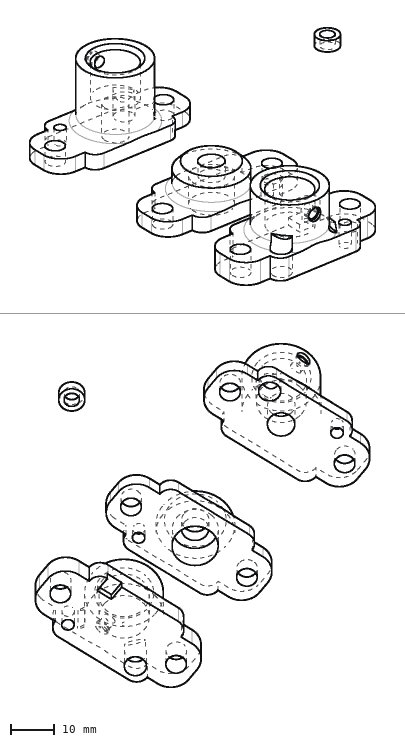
import cadquery as cq
import math

THIN_FLANGE = 4.0
THICK_FLANGE = 6.0
BODY_CORNER_RADIUS = 3.0
EAR_HALF_WIDTH = 6.65
EAR_CORNER_RADIUS = 5.0
FLANGE_HALF_WIDTH = EAR_HALF_WIDTH + BODY_CORNER_RADIUS
FLANGE_HALF_LENGTH = 20.9
BODY_HALF_LENGTH = 12.9

SCREW_HOLE_DIAMETER = 4.7
SCREW_HOLE_OFFSET = 16.2
PIN_HOLE_DIAMETER = 2.8
PIN_HOLE_X = 5.7
PIN_HOLE_Y = 10.0

POST_DIAMETER = 18.0
POST_RADIUS = POST_DIAMETER / 2
POST_OFFSET_X = 0.2
POST_OFFSET_Y = -1.7
ROOT_FILLET = 1.5
APERTURE_DIAMETER = 6.2

BORE_DIAMETER = 11.4
BORE_CHAMFER = 1.0
BORE_DEPTH = 10.2
BORE_FLOOR_HALF_ANGLE = 59
PINHOLE_DIAMETER = 1.0

SET_SCREW_DIAMETER = 2.8
SET_SCREW_MOUTH_DIAMETER = 3.5
SET_SCREW_MOUTH_DEPTH = 0.85

CLEARANCE_DIAMETER = 5.0
CLEARANCE_X = 5.8
CLEARANCE_Y = -9.0
CLEARANCE_RISE = 3.5
CLEARANCE_ROOF_SLOPE = 45

LONG_CENTRE = (-37.7, -0.3)
LONG_HEIGHT = 20.3
LONG_SET_SCREW_Z = 16.8
LONG_SCREW_HOLE_SHIFT = 0.4

SHORT_CENTRE = (28.3, -0.5)
SHORT_HEIGHT = 17.5
SHORT_SET_SCREW_Z = 13.8
NOTCH_SIZE = 4.0
NOTCH_HEIGHT = 2.0
NOTCH_Y = 7.9
RAMP_WIDTH = 4.7
RAMP_ANGLE = 55

MIDDLE_HEIGHT = 11.2
MIDDLE_TOP_CHAMFER = 2.0
MIDDLE_POCKET_DIAMETER = 10.5
MIDDLE_POCKET_DEPTH = 7.3

RING_OUTER_DIAMETER = 6.0
RING_INNER_DIAMETER = 3.5
RING_HEIGHT = 3.0
RING_BASE = (-1.4, 33.8, 27.8)


def disc(diameter, height, x=0, y=0, z=0):
    return cq.Workplane(origin=(x, y, z)).circle(diameter / 2).extrude(height)


def rounded_plate(half_width, half_length, thickness, corner_radius):
    plate = cq.Workplane().rect(2 * half_width, 2 * half_length).extrude(thickness)
    return plate.edges("|Z").fillet(corner_radius)


def flange(thickness):
    body = rounded_plate(FLANGE_HALF_WIDTH, BODY_HALF_LENGTH, thickness, BODY_CORNER_RADIUS)
    ears = rounded_plate(EAR_HALF_WIDTH, FLANGE_HALF_LENGTH, thickness, EAR_CORNER_RADIUS)
    return body.union(ears)


def flange_holes(thickness, lower_hole_x=0):
    upper_screw = disc(SCREW_HOLE_DIAMETER, thickness, 0, SCREW_HOLE_OFFSET)
    lower_screw = disc(SCREW_HOLE_DIAMETER, thickness, lower_hole_x, -SCREW_HOLE_OFFSET)
    pin = disc(PIN_HOLE_DIAMETER, thickness, PIN_HOLE_X, PIN_HOLE_Y)
    return upper_screw.union(lower_screw).union(pin)


def turned(profile):
    """Revolve a closed radius-height profile about the Z axis."""
    return profile.close().revolve(360, (0, 0, 0), (0, 1, 0))


def post(thickness, height, offset_x):
    """Round post with a concave root fillet, trimmed to the flange width."""
    foot_radius = POST_RADIUS + ROOT_FILLET
    profile = (
        cq.Workplane("XZ")
        .lineTo(foot_radius, 0)
        .lineTo(foot_radius, thickness)
        .radiusArc((POST_RADIUS, thickness + ROOT_FILLET), ROOT_FILLET)
        .lineTo(POST_RADIUS, height)
        .lineTo(0, height)
    )
    flange_width = cq.Workplane().rect(2 * FLANGE_HALF_WIDTH, 2 * FLANGE_HALF_LENGTH).extrude(height)
    return turned(profile).translate((offset_x, POST_OFFSET_Y, 0)).intersect(flange_width)


def bore(height, floor_hole_diameter):
    """Chamfered bore whose conical floor narrows to the given diameter."""
    radius = BORE_DIAMETER / 2
    tip_radius = floor_hole_diameter / 2
    floor_edge_z = height - BORE_DEPTH
    tip_z = floor_edge_z - (radius - tip_radius) / math.tan(math.radians(BORE_FLOOR_HALF_ANGLE))
    profile = (
        cq.Workplane("XZ")
        .moveTo(0, tip_z)
        .lineTo(tip_radius, tip_z)
        .lineTo(radius, floor_edge_z)
        .lineTo(radius, height - BORE_CHAMFER)
        .lineTo(radius + BORE_CHAMFER, height)
        .lineTo(0, height)
    )
    return turned(profile).translate((POST_OFFSET_X, POST_OFFSET_Y, 0))


def set_screw_hole(z):
    """Radial hole through the +X wall, wider at its mouth."""
    drill = cq.Workplane("YZ").circle(SET_SCREW_DIAMETER / 2).extrude(POST_RADIUS)
    mouth = (
        cq.Workplane("YZ", origin=(POST_RADIUS - SET_SCREW_MOUTH_DEPTH, 0, 0))
        .circle(SET_SCREW_MOUTH_DIAMETER / 2)
        .extrude(SET_SCREW_MOUTH_DEPTH)
    )
    return drill.union(mouth).translate((POST_OFFSET_X, POST_OFFSET_Y, z))


def screw_head_clearance(thickness):
    """Vertical cut whose roof inside the post slopes down towards the post axis."""
    roof_z = thickness + CLEARANCE_RISE
    cut = disc(CLEARANCE_DIAMETER, roof_z, CLEARANCE_X, CLEARANCE_Y)
    roof_drop = POST_RADIUS * math.tan(math.radians(CLEARANCE_ROOF_SLOPE))
    roof_profile = (
        cq.Workplane("XZ")
        .moveTo(0, roof_z - roof_drop)
        .lineTo(POST_RADIUS, roof_z)
        .lineTo(0, roof_z)
    )
    roof = turned(roof_profile).translate((POST_OFFSET_X, POST_OFFSET_Y, 0))
    return cut.cut(roof)


def socket(thickness, height, floor_hole_diameter, set_screw_z, lower_hole_x=0):
    return (
        flange(thickness)
        .union(post(thickness, height, POST_OFFSET_X))
        .cut(flange_holes(thickness, lower_hole_x))
        .cut(screw_head_clearance(thickness))
        .cut(bore(height, floor_hole_diameter))
        .cut(set_screw_hole(set_screw_z))
    )


def make_long_socket():
    """Tall socket with an open aperture, turned half a revolution."""
    body = socket(THIN_FLANGE, LONG_HEIGHT, APERTURE_DIAMETER, LONG_SET_SCREW_Z, LONG_SCREW_HOLE_SHIFT)
    aperture = disc(APERTURE_DIAMETER, LONG_HEIGHT, POST_OFFSET_X, POST_OFFSET_Y)
    return body.cut(aperture).rotate((0, 0, 0), (0, 0, 1), 180).translate((*LONG_CENTRE, 0))


def root_ramp():
    """Flat ramp that replaces a short stretch of the root fillet."""
    buried_radius = POST_RADIUS - ROOT_FILLET
    profile = (
        cq.Workplane("XZ", origin=(0, RAMP_WIDTH / 2, THICK_FLANGE))
        .moveTo(buried_radius, 0)
        .lineTo(POST_RADIUS + ROOT_FILLET, 0)
        .lineTo(POST_RADIUS, ROOT_FILLET)
        .lineTo(buried_radius, ROOT_FILLET)
        .close()
    )
    ramp = profile.extrude(RAMP_WIDTH).rotate((0, 0, 0), (0, 0, 1), RAMP_ANGLE)
    return ramp.translate((POST_OFFSET_X, POST_OFFSET_Y, 0))


def underside_notch():
    return (
        cq.Workplane(origin=(NOTCH_SIZE / 2 - FLANGE_HALF_WIDTH, NOTCH_Y, 0))
        .rect(NOTCH_SIZE, NOTCH_SIZE)
        .extrude(NOTCH_HEIGHT)
    )


def make_short_socket():
    """Shorter socket on a thick flange, with a closed conical floor."""
    body = socket(THICK_FLANGE, SHORT_HEIGHT, PINHOLE_DIAMETER, SHORT_SET_SCREW_Z)
    return body.union(root_ramp()).cut(underside_notch()).translate((*SHORT_CENTRE, 0))


def make_middle_mount():
    """Low chamfered mount with an aperture above a round pocket in its underside."""
    aperture = disc(APERTURE_DIAMETER, MIDDLE_HEIGHT, 0, POST_OFFSET_Y)
    pocket = disc(MIDDLE_POCKET_DIAMETER, MIDDLE_POCKET_DEPTH, 0, POST_OFFSET_Y)
    return (
        flange(THIN_FLANGE)
        .union(post(THIN_FLANGE, MIDDLE_HEIGHT, 0).faces(">Z").chamfer(MIDDLE_TOP_CHAMFER))
        .cut(flange_holes(THIN_FLANGE))
        .cut(aperture)
        .cut(pocket)
    )


def make_ring():
    ring = disc(RING_OUTER_DIAMETER, RING_HEIGHT).cut(disc(RING_INNER_DIAMETER, RING_HEIGHT))
    return ring.translate(RING_BASE)


long_socket = make_long_socket()
middle_mount = make_middle_mount()
short_socket = make_short_socket()
ring = make_ring()

result = cq.Compound.makeCompound(
    [long_socket.val(), middle_mount.val(), short_socket.val(), ring.val()]
)